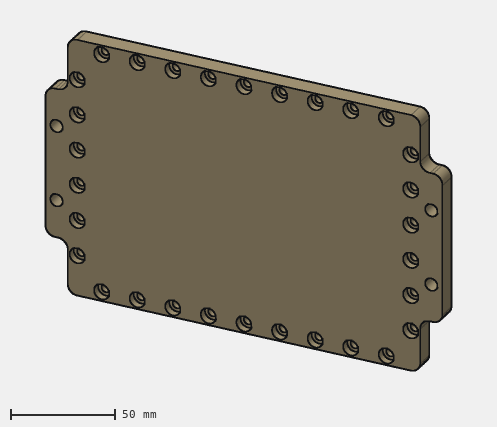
import cadquery as cq

overall_width = 212.0
height = 138.0
thickness = 10.0
body_width = 188.3
tab_height = 80.1
corner_radius = 5.0

screw_diameter = 4.5
head_diameter = 8.0
head_depth = 4.5
row_count = 9
row_length = 152.0
row_spread = 128.0
column_count = 6
column_length = 95.0
column_spread = 178.0

mount_diameter = 6.5
mount_span_x = 200.1
mount_span_z = 40.0


def front_plane():
    """Workplane on the front face, with local x along X and local y along Z."""
    return cq.Workplane("XZ", origin=(0, -thickness / 2, 0))


def slab(width, slab_height):
    """Centred block running back from the front face through the full thickness."""
    return front_plane().rect(width, slab_height).extrude(-thickness)


def make_plate():
    """Cross-shaped plate with its outer corners and the inner tab corners rounded."""
    cross = slab(body_width, height).union(slab(overall_width, tab_height))
    return cross.edges("|Y").fillet(corner_radius)


def evenly_spaced(count, length):
    """Positions of count points spread over length, centred on zero."""
    pitch = length / (count - 1)
    return [i * pitch - length / 2 for i in range(count)]


def screw_points():
    """Centres of the screw holes: two horizontal rows and two vertical columns."""
    points = []
    for side in (-1, 1):
        for x in evenly_spaced(row_count, row_length):
            points.append((x, side * row_spread / 2))
        for z in evenly_spaced(column_count, column_length):
            points.append((side * column_spread / 2, z))
    return points


def drill(points, diameter, depth):
    """Cylinders entering from the front face at each point."""
    return front_plane().pushPoints(points).circle(diameter / 2).extrude(-depth)


mount_points = [
    (x_side * mount_span_x / 2, z_side * mount_span_z / 2)
    for x_side in (-1, 1)
    for z_side in (-1, 1)
]

result = (
    make_plate()
    .cut(drill(screw_points(), screw_diameter, thickness))
    .cut(drill(screw_points(), head_diameter, head_depth))
    .cut(drill(mount_points, mount_diameter, thickness))
)